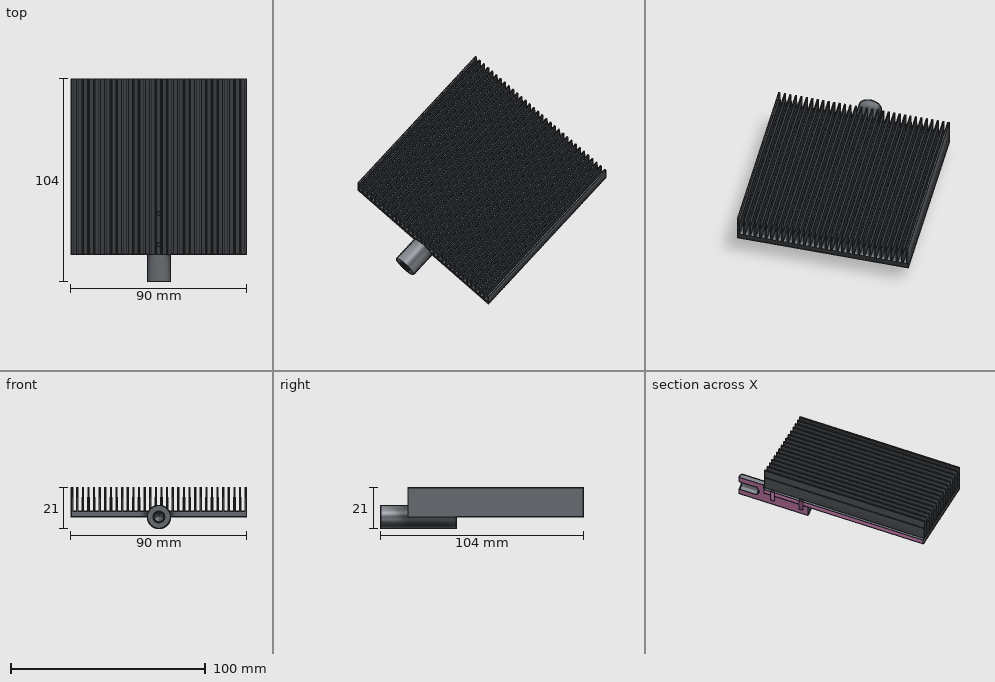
import cadquery as cq
import math

plate_side = 90.0
plate_thickness = 3.0
heat_sink_height = 15.0

inner_fin_count = 30
fin_pitch = 2.88
fin_root_width = 0.83
fin_ledge = 0.1
fin_ledge_z = 10.0
inner_fin_row_shift = -0.14
first_inner_fin_x = inner_fin_row_shift - fin_pitch * (inner_fin_count - 1) / 2

end_fin_root_width = 0.91

stud_radius = 6.0
stud_length = 39.0
stud_overhang = 14.0
stud_end_chamfer = 0.3
plate_front_y = -plate_side / 2
stud_front_y = plate_front_y - stud_overhang
stud_back_y = stud_front_y + stud_length

bore_radius = 2.5
bore_mouth_radius = 3.0
bore_depth = 10.0
drill_point_angle = 118.0
bore_mouth_chamfer = bore_mouth_radius - bore_radius
drill_point_length = bore_radius / math.tan(math.radians(drill_point_angle / 2))

pin_diameter = 2.0
pin_spacing = 16.0
pin_depth_in_stud = 3.0
pin_back_y = stud_back_y - 4.0
pin_y_positions = [pin_back_y, pin_back_y - pin_spacing]


def make_bar(center_x, width, height):
    """Upright bar along the full plate, standing on the plate underside."""
    bar = cq.Workplane("XY").box(width, plate_side, height, centered=(True, True, False))
    return bar.translate((center_x, 0, 0))


def make_inner_fin(center_x):
    """Stepped fin with a ledge on both sides."""
    root = make_bar(center_x, fin_root_width, fin_ledge_z)
    tip = make_bar(center_x, fin_root_width - 2 * fin_ledge, heat_sink_height)
    return root.union(tip)


def make_end_fin(side):
    """Outermost fin on the -X (side -1) or +X (side 1) edge, with a ledge facing inward."""
    tip_width = end_fin_root_width - fin_ledge
    root = make_bar(side * (plate_side - end_fin_root_width) / 2, end_fin_root_width, fin_ledge_z)
    tip = make_bar(side * (plate_side - tip_width) / 2, tip_width, heat_sink_height)
    return root.union(tip)


def make_heat_sink():
    """Base plate with the evenly spaced inner fins and an end fin on each side."""
    body = make_bar(0, plate_side, plate_thickness)
    for index in range(inner_fin_count):
        body = body.union(make_inner_fin(first_inner_fin_x + index * fin_pitch))
    for side in (-1, 1):
        body = body.union(make_end_fin(side))
    return body


def make_pin(center_y):
    """Plain round pin from the channel floor down into the stud."""
    return (
        cq.Workplane("XY")
        .workplane(offset=-pin_depth_in_stud)
        .center(0, center_y)
        .circle(pin_diameter / 2)
        .extrude(plate_thickness + pin_depth_in_stud)
    )


def make_bore():
    """Bore with a chamfered mouth and a conical drill point, turned about the Y axis."""
    bore_end_y = stud_front_y + bore_depth
    return (
        cq.Workplane("XY")
        .moveTo(0, stud_front_y)
        .lineTo(bore_mouth_radius, stud_front_y)
        .lineTo(bore_radius, stud_front_y + bore_mouth_chamfer)
        .lineTo(bore_radius, bore_end_y)
        .lineTo(0, bore_end_y + drill_point_length)
        .close()
        .revolve(360, (0, 0, 0), (0, 1, 0))
    )


def make_stud():
    """Round stud, cut flat at Z = 0 where it lies under the plate."""
    stud = (
        cq.Workplane("XZ", origin=(0, stud_front_y, 0))
        .circle(stud_radius)
        .extrude(-stud_length)
        .faces(">Y")
        .chamfer(stud_end_chamfer)
    )
    space_for_plate = cq.Workplane("XY").box(
        plate_side, plate_side, heat_sink_height, centered=(True, True, False)
    )
    return stud.cut(space_for_plate).cut(make_bore())


heat_sink = make_heat_sink()
stud = make_stud()
pins = [make_pin(center_y) for center_y in pin_y_positions]
for pin in pins:
    heat_sink = heat_sink.cut(pin)
    stud = stud.cut(pin)

result = cq.Compound.makeCompound([heat_sink.val(), stud.val(), *[pin.val() for pin in pins]])